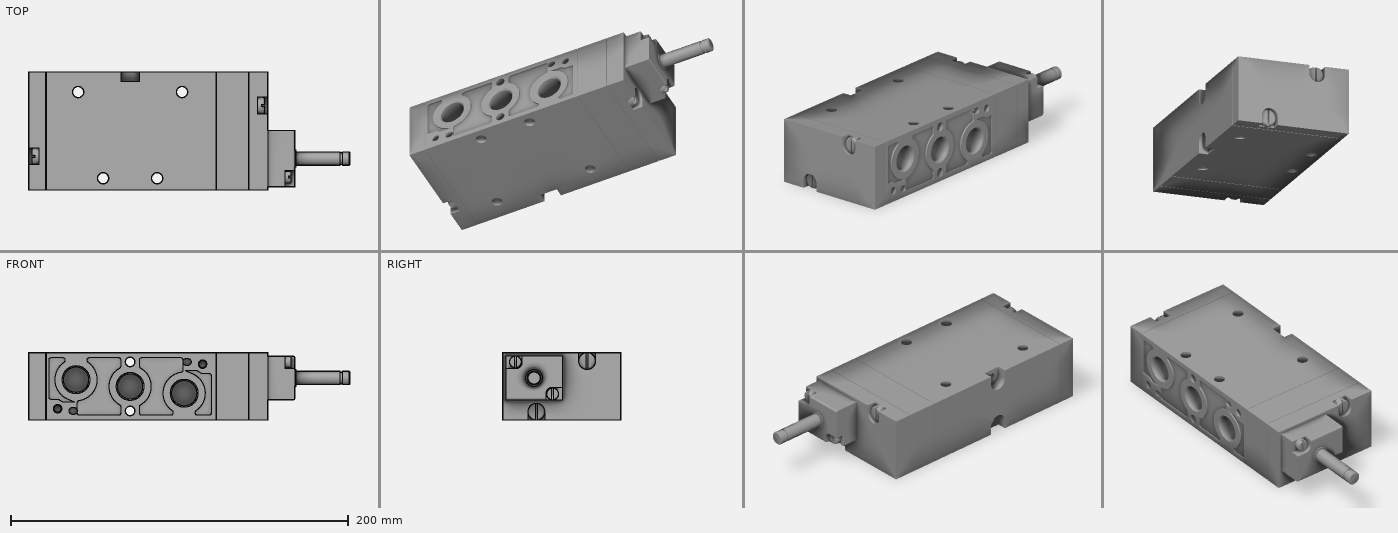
import cadquery as cq
import math


STACK_LENGTH = 141.5
DEPTH = 70.0
HEIGHT = 40.0
GASKET_THICKNESS = 0.5
GASKET_RECESS = 0.2
GASKET_CENTRES_X = (10.25, 111.0, 130.25)
BODY_CENTRE_X = 60.0
TOP_Z = HEIGHT / 2

PORT_DIAMETER = 14.95
PORT_MOUTH_DIAMETER = 16.5
PORT_DEPTH = 15.0
PORT_PITCH_X = 32.0
PORT_STEP_Z = 4.0

POCKET_DEPTH = 1.0
POCKET_HALF_HEIGHT = 17.0
PORT_RIM_RADIUS = 12.5
PORT_GAP_HALF_WIDTH = 6.5
CENTRE_GAP_HALF_WIDTH = 5.5
OUTER_POCKET_END_X = -48.1
OUTER_POCKET_LOWER_Z = -7.6
OUTER_POCKET_TIP_Z = -9.3
TIP_ANGLE = 24.0
STEP_START_X = -42.5
STEP_END_X = -39.8
INNER_POCKET_END_X = -31.3
POCKET_CORNER_RADIUS = 1.3

PILOT_HOLE_X = -42.9
PILOT_HOLE_Z = -13.2
PILOT_DIAMETER = 4.13
PILOT_MOUTH_DIAMETER = 5.0
PILOT_DEPTH = 10.0
DRILL_POINT_ANGLE = 118.0
SIGNAL_SLOT_LENGTH = 5.0
SIGNAL_SLOT_WIDTH = 4.0
SIGNAL_SLOT_DEPTH = 5.0
SIGNAL_SLOT_OVERLAP = 0.1

CROSS_HOLE_DIAMETER = 5.5
CROSS_HOLE_Z = 14.5
NUT_RECESS_WIDTH = 11.0
NUT_RECESS_DEPTH = 5.7
VERTICAL_HOLE_DIAMETER = 6.5
VERTICAL_HOLES = ((61.5, 58.0), (32.0, 7.0))

CAP_SCREW_DIAMETER = 10.0
CAP_SCREW_OFFSET_Y = 15.0
CAP_RECESS_DEPTH = 6.0
CAP_HEAD_HEIGHT = 4.0
CAP_HEAD_EDGE_RADIUS = 1.2
DRIVER_SLOT_WIDTH = 1.2
DRIVER_SLOT_DEPTH = 1.6

BLOCK_LENGTH = 16.0
BLOCK_DEPTH = 33.4
BLOCK_HEIGHT = 26.0
BLOCK_CENTRE_Y = 18.6
BLOCK_CENTRE_Z = 5.0
BLOCK_EDGE_RADIUS = 1.2
BLOCK_RECESS_DIAMETER = 8.0
BLOCK_RECESS_DEPTH = 5.7
BLOCK_SCREW_DIAMETER = 7.0
BLOCK_HEAD_HEIGHT = 3.5
BLOCK_HEAD_EDGE_RADIUS = 0.8
BLOCK_SCREW_OFFSET_Y = 11.0
BLOCK_SCREW_OFFSET_Z = 9.5

OVERALL_LENGTH = 190.0
COLLAR_DIAMETER = 10.0
COLLAR_LENGTH = 0.6
STEM_DIAMETER = 8.0
STEM_CHAMFER = 0.4
STEM_GROOVE_DIAMETER = 7.0
STEM_GROOVE_WIDTH = 1.3
STEM_GROOVE_X = 184.3

BLOCK_END_X = STACK_LENGTH + BLOCK_LENGTH


def cylinder(start, direction, diameter, length):
    """Solid cylinder from its start point along a direction."""
    return cq.Workplane(cq.Solid.makeCylinder(diameter / 2, length, cq.Vector(*start), cq.Vector(*direction)))


def box(size, centre):
    return cq.Workplane().box(*size).translate(centre)


def face_plane():
    """Plane of the port face, centred on the body, facing out of the part."""
    return cq.Workplane("XZ", origin=(BODY_CENTRE_X, 0, 0))


def half_turned(shape):
    """The shape turned half a turn about the Y axis through the body centre."""
    return shape.rotate((BODY_CENTRE_X, 0, 0), (BODY_CENTRE_X, 1, 0), 180)


def stack():
    solid = box((STACK_LENGTH, DEPTH, HEIGHT), (STACK_LENGTH / 2, DEPTH / 2, 0))
    for x in GASKET_CENTRES_X:
        centre = (x, DEPTH / 2, 0)
        band = box((GASKET_THICKNESS, DEPTH, HEIGHT), centre)
        core = box((GASKET_THICKNESS, DEPTH - 2 * GASKET_RECESS, HEIGHT - 2 * GASKET_RECESS), centre)
        solid = solid.cut(band.cut(core))
    return solid


def blind_hole(x, z, diameter, mouth_diameter, depth, point_depth=0.0):
    """Blind hole in the port face with a 45 degree chamfered mouth and a floor that may be conical.

    x is measured from the body centre.
    """
    radius = diameter / 2
    mouth_radius = mouth_diameter / 2
    half_section = [
        (0, 0),
        (mouth_radius, 0),
        (radius, mouth_radius - radius),
        (radius, depth),
        (0, depth + point_depth),
    ]
    profile = cq.Workplane("XY").polyline(half_section).close()
    return profile.revolve(360, (0, 0), (0, 1)).translate((BODY_CENTRE_X + x, 0, z))


def port(x, z):
    return blind_hole(x, z, PORT_DIAMETER, PORT_MOUTH_DIAMETER, PORT_DEPTH)


def rim_point(port_x, port_z, offset_x, side):
    """Point on a port's rim circle at an X offset from the port, above (1) or below (-1) it."""
    return (port_x + offset_x, port_z + side * math.sqrt(PORT_RIM_RADIUS**2 - offset_x**2))


def outer_pocket():
    """Pocket wrapping the outer side of the end port, ending below it in a pointed tip."""
    port_x, port_z = -PORT_PITCH_X, PORT_STEP_Z
    rim_top = rim_point(port_x, port_z, -PORT_GAP_HALF_WIDTH, 1)
    tangent = math.radians(TIP_ANGLE)
    rim_bottom = rim_point(port_x, port_z, -PORT_RIM_RADIUS * math.sin(tangent), -1)
    tip_x = rim_bottom[0] + (rim_bottom[1] - OUTER_POCKET_TIP_Z) / math.tan(tangent)
    outline = (
        face_plane()
        .moveTo(OUTER_POCKET_END_X, POCKET_HALF_HEIGHT)
        .lineTo(rim_top[0], POCKET_HALF_HEIGHT)
        .lineTo(*rim_top)
        .threePointArc((port_x - PORT_RIM_RADIUS, port_z), rim_bottom)
        .lineTo(tip_x, OUTER_POCKET_TIP_Z)
        .lineTo(STEP_END_X, OUTER_POCKET_TIP_Z)
        .lineTo(STEP_START_X, OUTER_POCKET_LOWER_Z)
        .lineTo(OUTER_POCKET_END_X, OUTER_POCKET_LOWER_Z)
        .close()
    )
    sharp_start_x = (rim_top[0] + rim_bottom[0]) / 2
    rounded_region = cq.selectors.BoxSelector(
        (0, 0, -TOP_Z),
        (BODY_CENTRE_X + sharp_start_x, POCKET_DEPTH, TOP_Z),
    )
    pocket = outline.extrude(-POCKET_DEPTH)
    return pocket.edges("|Y").edges(rounded_region).fillet(POCKET_CORNER_RADIUS)


def inner_pocket():
    """Pocket between an end port and the centre port, following the rims of both."""
    port_x, port_z = -PORT_PITCH_X, PORT_STEP_Z
    end_top = rim_point(port_x, port_z, PORT_GAP_HALF_WIDTH, 1)
    end_bottom = rim_point(port_x, port_z, INNER_POCKET_END_X - port_x, -1)
    centre_top = rim_point(0, 0, -CENTRE_GAP_HALF_WIDTH, 1)
    centre_bottom = rim_point(0, 0, -CENTRE_GAP_HALF_WIDTH, -1)
    return (
        face_plane()
        .moveTo(end_top[0], POCKET_HALF_HEIGHT)
        .lineTo(centre_top[0], POCKET_HALF_HEIGHT)
        .lineTo(*centre_top)
        .threePointArc((-PORT_RIM_RADIUS, 0), centre_bottom)
        .lineTo(centre_bottom[0], -POCKET_HALF_HEIGHT)
        .lineTo(INNER_POCKET_END_X, -POCKET_HALF_HEIGHT)
        .lineTo(*end_bottom)
        .threePointArc((port_x + PORT_RIM_RADIUS, port_z), end_top)
        .close()
        .extrude(-POCKET_DEPTH)
        .edges("|Y")
        .fillet(POCKET_CORNER_RADIUS)
    )


def signal_slot():
    """Rounded slot whose end breaks into the lower corner of the inner pocket."""
    centre_x = INNER_POCKET_END_X + SIGNAL_SLOT_OVERLAP - SIGNAL_SLOT_LENGTH / 2
    return (
        face_plane()
        .center(centre_x, -CROSS_HOLE_Z)
        .slot2D(SIGNAL_SLOT_LENGTH, SIGNAL_SLOT_WIDTH)
        .extrude(-SIGNAL_SLOT_DEPTH)
    )


def pilot_hole():
    point_depth = PILOT_DIAMETER / 2 / math.tan(math.radians(DRILL_POINT_ANGLE / 2))
    return blind_hole(
        PILOT_HOLE_X,
        PILOT_HOLE_Z,
        PILOT_DIAMETER,
        PILOT_MOUTH_DIAMETER,
        PILOT_DEPTH,
        point_depth,
    )


def cut_port_face(solid):
    """Ports, pockets and small holes; the pattern repeats after half a turn about Y."""
    solid = solid.cut(port(0, 0))
    half_pattern = (
        port(-PORT_PITCH_X, PORT_STEP_Z),
        outer_pocket(),
        inner_pocket(),
        signal_slot(),
        pilot_hole(),
    )
    for feature in half_pattern:
        solid = solid.cut(feature).cut(half_turned(feature))
    return solid


def cross_hole():
    """Through hole along Y near the top, with a round-bottomed recess at the back open upwards."""
    hole = cylinder((BODY_CENTRE_X, 0, CROSS_HOLE_Z), (0, 1, 0), CROSS_HOLE_DIAMETER, DEPTH)
    recess_start = DEPTH - NUT_RECESS_DEPTH
    floor_centre = (BODY_CENTRE_X, recess_start, CROSS_HOLE_Z)
    recess = cylinder(floor_centre, (0, 1, 0), NUT_RECESS_WIDTH, NUT_RECESS_DEPTH)
    opening_height = TOP_Z - CROSS_HOLE_Z
    opening = box(
        (NUT_RECESS_WIDTH, NUT_RECESS_DEPTH, opening_height),
        (BODY_CENTRE_X, recess_start + NUT_RECESS_DEPTH / 2, CROSS_HOLE_Z + opening_height / 2),
    )
    return hole.union(recess).union(opening)


def cut_mounting_holes(solid):
    solid = solid.cut(cross_hole()).cut(half_turned(cross_hole()))
    for spacing, y in VERTICAL_HOLES:
        for x in (BODY_CENTRE_X - spacing / 2, BODY_CENTRE_X + spacing / 2):
            solid = solid.cut(cylinder((x, y, -TOP_Z), (0, 0, 1), VERTICAL_HOLE_DIAMETER, HEIGHT))
    return solid


def screw_head(start, outward, diameter, height, edge_radius):
    """Round screw head with a rounded edge and a vertical driver slot, axis along X."""
    head = cylinder(start, (outward, 0, 0), diameter, height)
    head = head.faces(">X" if outward > 0 else "<X").edges().fillet(edge_radius)
    slot_x = start[0] + outward * (height - DRIVER_SLOT_DEPTH / 2)
    return head.cut(box((DRIVER_SLOT_DEPTH, DRIVER_SLOT_WIDTH, diameter), (slot_x, start[1], start[2])))


def add_cap_screw(solid, end_x, outward, y, side):
    """Cap screw in a recess open to one end of the stack and to the top (1) or bottom (-1)."""
    radius = CAP_SCREW_DIAMETER / 2
    z = side * (TOP_Z - radius)
    floor_x = end_x - outward * CAP_RECESS_DEPTH
    recess = cylinder((floor_x, y, z), (outward, 0, 0), CAP_SCREW_DIAMETER, CAP_RECESS_DEPTH)
    opening = box(
        (CAP_RECESS_DEPTH, CAP_SCREW_DIAMETER, radius),
        ((floor_x + end_x) / 2, y, z + side * radius / 2),
    )
    head = screw_head((floor_x, y, z), outward, CAP_SCREW_DIAMETER, CAP_HEAD_HEIGHT, CAP_HEAD_EDGE_RADIUS)
    return solid.cut(recess.union(opening)).union(head)


def add_cap_screws(solid):
    """Two screws on opposite corners of each end."""
    for end_x, outward in ((0, -1), (STACK_LENGTH, 1)):
        for side in (1, -1):
            y = DEPTH / 2 + outward * side * CAP_SCREW_OFFSET_Y
            solid = add_cap_screw(solid, end_x, outward, y, side)
    return solid


def block_recess():
    """Screw recess in the front top edge of the block, open to the front, the top and the end."""
    radius = BLOCK_RECESS_DIAMETER / 2
    y = BLOCK_CENTRE_Y - BLOCK_SCREW_OFFSET_Y
    z = BLOCK_CENTRE_Z + BLOCK_SCREW_OFFSET_Z
    start_x = BLOCK_END_X - BLOCK_RECESS_DEPTH
    front_y = BLOCK_CENTRE_Y - BLOCK_DEPTH / 2
    top_z = BLOCK_CENTRE_Z + BLOCK_HEIGHT / 2
    profile = (
        cq.Workplane("YZ", origin=(start_x, 0, 0))
        .moveTo(front_y, top_z)
        .lineTo(front_y, z - radius)
        .lineTo(y, z - radius)
        .radiusArc((y + radius, z), -radius)
        .lineTo(y + radius, top_z)
        .close()
    )
    return profile.extrude(BLOCK_RECESS_DEPTH)


def solenoid_block():
    """Block with rounded upper and lower end edges and a screw in two opposite corners."""
    block = box(
        (BLOCK_LENGTH, BLOCK_DEPTH, BLOCK_HEIGHT),
        (STACK_LENGTH + BLOCK_LENGTH / 2, BLOCK_CENTRE_Y, BLOCK_CENTRE_Z),
    )
    block = block.faces(">X").edges("|Y").fillet(BLOCK_EDGE_RADIUS)
    recess = block_recess()
    head_start = (
        BLOCK_END_X - BLOCK_RECESS_DEPTH,
        BLOCK_CENTRE_Y - BLOCK_SCREW_OFFSET_Y,
        BLOCK_CENTRE_Z + BLOCK_SCREW_OFFSET_Z,
    )
    head = screw_head(head_start, 1, BLOCK_SCREW_DIAMETER, BLOCK_HEAD_HEIGHT, BLOCK_HEAD_EDGE_RADIUS)
    axis_start = (0, BLOCK_CENTRE_Y, BLOCK_CENTRE_Z)
    axis_end = (1, BLOCK_CENTRE_Y, BLOCK_CENTRE_Z)
    for angle in (0, 180):
        block = block.cut(recess.rotate(axis_start, axis_end, angle))
        block = block.union(head.rotate(axis_start, axis_end, angle))
    return block


def solenoid_stem():
    """Collar and round stem with a chamfered tip and a retaining groove."""
    start = (BLOCK_END_X, BLOCK_CENTRE_Y, BLOCK_CENTRE_Z)
    along_x = (1, 0, 0)
    stem = cylinder(start, along_x, STEM_DIAMETER, OVERALL_LENGTH - BLOCK_END_X)
    stem = stem.faces(">X").chamfer(STEM_CHAMFER)
    groove_start = (STEM_GROOVE_X, BLOCK_CENTRE_Y, BLOCK_CENTRE_Z)
    ring = cylinder(groove_start, along_x, STEM_DIAMETER, STEM_GROOVE_WIDTH)
    ring = ring.cut(cylinder(groove_start, along_x, STEM_GROOVE_DIAMETER, STEM_GROOVE_WIDTH))
    return stem.cut(ring).union(cylinder(start, along_x, COLLAR_DIAMETER, COLLAR_LENGTH))


valve = stack()
valve = cut_port_face(valve)
valve = cut_mounting_holes(valve)
valve = add_cap_screws(valve)
result = valve.union(solenoid_block()).union(solenoid_stem())